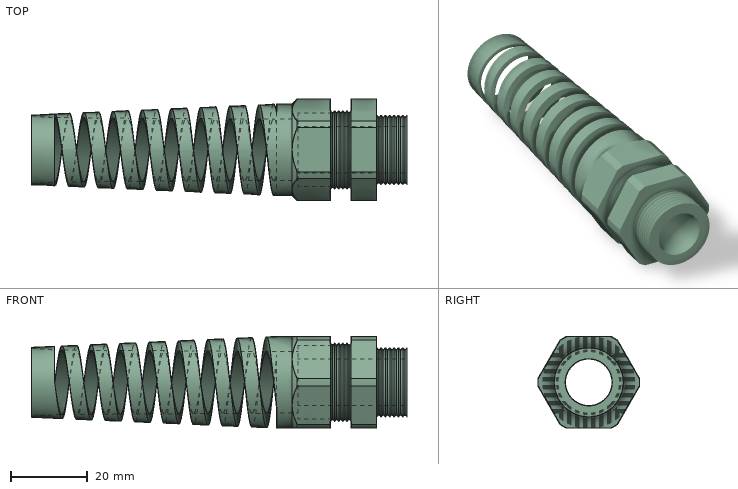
import cadquery as cq
import math

SLEEVE_END = 6.1
RING_START = 63.9
NUT_HEX_START = 67.9
NUT_END = 77.8
FLANGE_START = 83.2
FLANGE_END = 89.9
TOTAL_LENGTH = 97.8
NECK_START = 69.4

ACROSS_FLATS = 23.9
CORNER_DIAMETER = 26.5
SHARP_CORNER_DIAMETER = ACROSS_FLATS / math.cos(math.radians(30))
RING_RADIUS = ACROSS_FLATS / 2
CORNER_RADIUS = CORNER_DIAMETER / 2

TIP_RADIUS = 9.1
TIP_BORE_RADIUS = 8.9
SLEEVE_BORE_RADIUS = 8.4
NUT_BORE_RADIUS = 8.0
OPEN_COIL_TURNS = 7.6
COIL_PITCH = (RING_START - SLEEVE_END) / OPEN_COIL_TURNS
COIL_WIDTH = COIL_PITCH / 2
EMBEDDED_TURNS = 0.7
COIL_START_ANGLE = 180
STRIP_INNER_RADIUS = 5.9
STRIP_OUTER_RADIUS = 13.7

CABLE_BORE_RADIUS = 6.1
NUT_THREAD_ROOT = 9.6
NUT_THREAD_CREST = 10.2
NUT_THREAD_TEETH = 5
END_THREAD_ROOT = 8.4
END_THREAD_CREST = 9.0
END_THREAD_TEETH = 7


def revolve_about_x(points):
    """Solid of revolution about X from a closed outline of (x, radius) points."""
    return cq.Workplane("XZ").polyline(points).close().revolve(360, (0, 0, 0), (1, 0, 0))


def rounded_hexagon(start, end):
    """Hexagonal prism along X with flats at +Z and -Z and corners cut by a cylinder."""
    plane = cq.Workplane("YZ", origin=(start, 0, 0))
    prism = plane.polygon(6, SHARP_CORNER_DIAMETER).extrude(end - start)
    return prism.intersect(plane.circle(CORNER_RADIUS).extrude(end - start))


def outer_radius(x):
    """Outside radius of the tapered sleeve and coil."""
    return TIP_RADIUS + (RING_RADIUS - TIP_RADIUS) * x / RING_START


def tapered_tube(start, end, start_bore_radius, end_bore_radius):
    """Stretch of the tapered wall whose bore narrows between the two given radii."""
    return revolve_about_x([
        (start, start_bore_radius),
        (start, outer_radius(start)),
        (end, outer_radius(end)),
        (end, end_bore_radius),
    ])


def helical_strip():
    """Right-handed strip, wider than the tube wall, winding along X."""
    mean_radius = (STRIP_INNER_RADIUS + STRIP_OUTER_RADIUS) / 2
    winding_length = COIL_PITCH * (OPEN_COIL_TURNS + EMBEDDED_TURNS)
    path = cq.Wire.makeHelix(COIL_PITCH, winding_length, mean_radius)
    section = cq.Workplane("XZ").center(mean_radius, 0).rect(
        STRIP_OUTER_RADIUS - STRIP_INNER_RADIUS, COIL_WIDTH
    )
    strip = section.sweep(cq.Workplane(path), isFrenet=True)
    along_x = strip.rotate((0, 0, 0), (1, 1, 1), 120)
    turned = along_x.rotate((0, 0, 0), (1, 0, 0), COIL_START_ANGLE)
    return turned.translate((SLEEVE_END - COIL_WIDTH / 2, 0, 0))


def make_spiral_nut():
    """Cap nut with its tapered bend-protection coil and end sleeve."""
    sleeve = tapered_tube(0, SLEEVE_END, TIP_BORE_RADIUS, SLEEVE_BORE_RADIUS)
    coil_tube = tapered_tube(SLEEVE_END, RING_START, SLEEVE_BORE_RADIUS, NUT_BORE_RADIUS)
    coil = coil_tube.intersect(helical_strip())

    corner_chamfer = CORNER_RADIUS - RING_RADIUS
    turned_blank = revolve_about_x([
        (NUT_HEX_START, 0),
        (NUT_HEX_START, RING_RADIUS),
        (NUT_HEX_START + corner_chamfer, CORNER_RADIUS),
        (NUT_END, CORNER_RADIUS),
        (NUT_END, 0),
    ])
    hexagon = rounded_hexagon(NUT_HEX_START, NUT_END).intersect(turned_blank)
    ring_plane = cq.Workplane("YZ", origin=(RING_START, 0, 0))
    ring = ring_plane.circle(RING_RADIUS).extrude(NUT_HEX_START - RING_START)
    cavity = revolve_about_x([
        (RING_START, 0),
        (RING_START, NUT_BORE_RADIUS),
        (NECK_START, NUT_BORE_RADIUS),
        (NECK_START, NUT_THREAD_ROOT),
        (NUT_END, NUT_THREAD_ROOT),
        (NUT_END, 0),
    ])
    nut = ring.union(hexagon).cut(cavity)
    return nut.union(coil).union(sleeve, clean=False)


def thread_outline(start, end, root, crest, teeth):
    """Zigzag (x, radius) points of ring-shaped thread teeth, from crest to crest."""
    pitch = (end - start) / teeth
    points = [(start, crest)]
    for tooth in range(teeth):
        points.append((start + (tooth + 0.5) * pitch, root))
        points.append((start + (tooth + 1) * pitch, crest))
    return points


def make_gland_body():
    """Hexagon flange between two threads, with a plain neck inside the nut."""
    nut_thread = thread_outline(
        NUT_END, FLANGE_START, NUT_THREAD_ROOT, NUT_THREAD_CREST, NUT_THREAD_TEETH
    )
    end_thread = thread_outline(
        FLANGE_END, TOTAL_LENGTH, END_THREAD_ROOT, END_THREAD_CREST, END_THREAD_TEETH
    )
    core = revolve_about_x([
        (NECK_START, 0),
        (NECK_START, NUT_THREAD_ROOT),
        (NUT_END, NUT_THREAD_ROOT),
        *nut_thread,
        *end_thread,
        (TOTAL_LENGTH, 0),
    ])
    bore = cq.Workplane("YZ").circle(CABLE_BORE_RADIUS).extrude(TOTAL_LENGTH)
    return core.union(rounded_hexagon(FLANGE_START, FLANGE_END)).cut(bore)


spiral_nut = make_spiral_nut()
gland_body = make_gland_body()
result = cq.Compound.makeCompound([spiral_nut.solids().val(), gland_body.solids().val()])